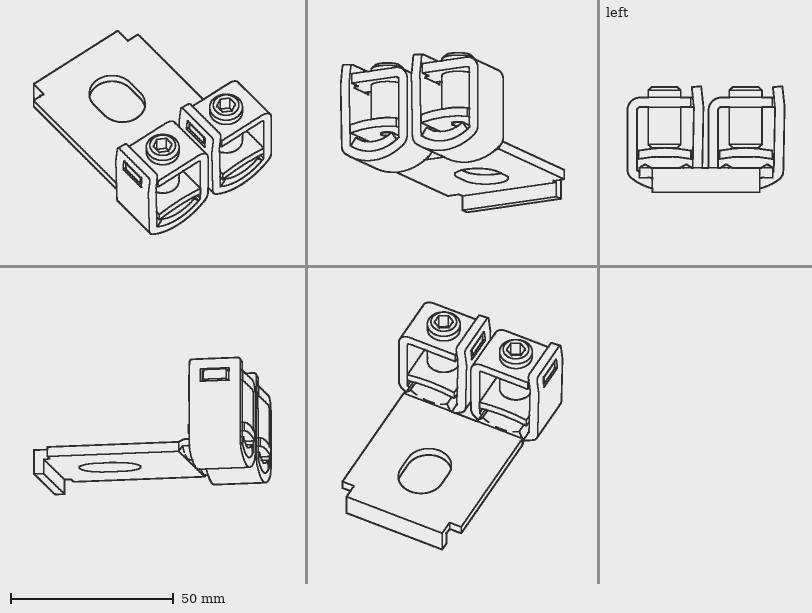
import cadquery as cq
import math

sheet = 3.0

flange_height = 7.55
flange_width = 33.1
plate_width = 41.1
plate_end_x = 46.15
notch_length = 5.0
slot_length = 19.1
slot_width = 14.0
slot_center_x = 20.5

tongue_width = 16.15
tongue_offset_y = (plate_width - tongue_width) / 2
tongue_bend_x = 47.4
trough_bottom_z = 3.65
trough_radius = 13.8
trough_center_z = trough_bottom_z + trough_radius

clamp_width = 16.05
clamp_center_x = 58.13
clamp_end_x = clamp_center_x + clamp_width / 2
clamp_outer_radius = trough_radius + sheet
top_z = 29.2
top_bend_radius = 4.0
bottom_bend_radius = 3.6
back_y = 11.78
back_inner_y = back_y - sheet
front_foot_y = -11.27
front_kink_y = -11.68
front_kink_z = 26.25
lip_lean = 6.2
lip_length = 6.48
lip_corner_radius = 1.0
top_end_y = -7.8

tab_width = 7.1
tab_end_y = -11.3
tab_root_radius = 0.5
window_width = 8.95
window_corner_radius = 0.3
window_bottom_z = 25.55
window_top_z = 29.5

screw_offset_y = 0.35
screw_diameter = 10.1
screw_top_z = 32.45
screw_chamfer = 1.1
hex_flats = 5.0
hex_depth = 5.0
pin_diameter = 4.1
pin_end_z = 10.75

pressure_length = 17.55
pressure_end_x = 66.75
pressure_width = 16.2
pressure_center_y = 0.25
pressure_thickness = 2.65
pressure_crown_z = 13.65
pressure_edge_z = 12.87


def arc_z(radius, y):
    """Height of the lower half of a circle about the trough axis."""
    return trough_center_z - math.sqrt(radius**2 - y**2)


def yz_plane(x):
    return cq.Plane(origin=(x, 0, 0), xDir=(0, 1, 0), normal=(1, 0, 0))


def box(x_range, y_range, z_range):
    size = [r[1] - r[0] for r in (x_range, y_range, z_range)]
    corner = (x_range[0], y_range[0], z_range[0])
    return cq.Workplane("XY").box(*size, centered=False).translate(corner)


def x_span(width):
    """Range of the given width about the clamp centre."""
    return clamp_center_x - width / 2, clamp_center_x + width / 2


def screw_cylinder(diameter, bottom_z, end_z):
    """Upright cylinder on the screw axis."""
    return (
        cq.Workplane("XY", origin=(clamp_center_x, screw_offset_y, bottom_z))
        .circle(diameter / 2)
        .extrude(end_z - bottom_z)
    )


def make_tongue():
    """Trough-shaped tongue, blended from the flat sheet at the plate end."""
    half_width = tongue_width / 2
    top_radius = trough_radius - sheet
    top_half_width = half_width * top_radius / trough_radius
    edge_z = arc_z(trough_radius, half_width)
    ridge_z = arc_z(top_radius, top_half_width)
    trough = (
        cq.Workplane(yz_plane(tongue_bend_x))
        .moveTo(-half_width, edge_z)
        .threePointArc((0, trough_bottom_z), (half_width, edge_z))
        .lineTo(top_half_width, ridge_z)
        .threePointArc((0, trough_bottom_z + sheet), (-top_half_width, ridge_z))
        .close()
    )
    flat = (
        cq.Workplane(yz_plane(plate_end_x))
        .moveTo(-half_width, flange_height - sheet)
        .lineTo(half_width, flange_height - sheet)
        .lineTo(half_width, flange_height)
        .lineTo(-half_width, flange_height)
        .close()
    )
    blend = cq.Solid.makeLoft([flat.val(), trough.val()], True)
    return trough.extrude(clamp_end_x - tongue_bend_x).union(cq.Workplane(blend))


def make_busbar():
    top_range = (flange_height - sheet, flange_height)
    half_plate = plate_width / 2
    half_flange = flange_width / 2
    plate = box((notch_length, plate_end_x), (-half_plate, half_plate), top_range)
    neck = box((0, notch_length), (-half_flange, half_flange), top_range)
    flange = box((0, sheet), (-half_flange, half_flange), (0, flange_height))
    slot = (
        cq.Workplane("XY")
        .center(slot_center_x, 0)
        .slot2D(slot_length, slot_width)
        .extrude(flange_height)
    )
    bar = plate.union(neck).union(flange).cut(slot)
    for side in (-1, 1):
        bar = bar.union(make_tongue().translate((0, side * tongue_offset_y, 0)))
    return bar


def make_clamp():
    """Bent-strip clamp about Y = 0, where the tongue axis lies."""
    x_start = clamp_center_x - clamp_width / 2
    lean = math.radians(lip_lean)
    lip_top_y = front_kink_y + lip_length * math.sin(lean)
    lip_top_z = front_kink_z + lip_length * math.cos(lean)
    front_inner_foot_y = front_foot_y + sheet

    frame = (
        cq.Workplane(yz_plane(x_start))
        .moveTo(top_end_y, top_z)
        .lineTo(back_y, top_z)
        .lineTo(back_y, arc_z(clamp_outer_radius, back_y))
        .threePointArc(
            (0, trough_center_z - clamp_outer_radius),
            (front_foot_y, arc_z(clamp_outer_radius, front_foot_y)),
        )
        .lineTo(front_kink_y, front_kink_z)
        .lineTo(lip_top_y, lip_top_z)
        .lineTo(lip_top_y + sheet * math.cos(lean), lip_top_z - sheet * math.sin(lean))
        .lineTo(front_kink_y + sheet, front_kink_z)
        .lineTo(front_inner_foot_y, arc_z(trough_radius, front_inner_foot_y))
        .threePointArc(
            (0, trough_bottom_z),
            (back_inner_y, arc_z(trough_radius, back_inner_y)),
        )
        .lineTo(back_inner_y, top_z - sheet)
        .lineTo(top_end_y, top_z - sheet)
        .close()
        .extrude(clamp_width)
    )

    def edge_along_x(y, z):
        reach = 0.05
        return cq.selectors.BoxSelector(
            (x_start, y - reach, z - reach), (clamp_end_x, y + reach, z + reach)
        )

    frame = frame.edges(edge_along_x(back_y, top_z)).fillet(top_bend_radius)
    frame = frame.edges(edge_along_x(back_inner_y, top_z - sheet)).fillet(top_bend_radius - sheet)
    for y in (back_y, front_foot_y):
        corner = edge_along_x(y, arc_z(clamp_outer_radius, y))
        frame = frame.edges(corner).fillet(bottom_bend_radius)
    frame = frame.faces(">Z").edges("<X or >X").fillet(lip_corner_radius)

    window = box(
        x_span(window_width),
        (front_kink_y - sheet, top_end_y),
        (window_bottom_z, window_top_z),
    )
    window = window.edges("|Y and >Z").fillet(window_corner_radius)

    half_tab = tab_width / 2
    half_root = half_tab + tab_root_radius
    round_end_y = top_end_y - tab_root_radius
    tab = (
        cq.Workplane("XY", origin=(clamp_center_x, 0, top_z - sheet))
        .moveTo(-half_root, top_end_y)
        .radiusArc((-half_tab, round_end_y), tab_root_radius)
        .lineTo(-half_tab, tab_end_y)
        .lineTo(half_tab, tab_end_y)
        .lineTo(half_tab, round_end_y)
        .radiusArc((half_root, top_end_y), tab_root_radius)
        .close()
        .extrude(sheet)
    )
    screw_hole = screw_cylinder(screw_diameter, top_z - sheet, top_z)
    return frame.cut(window).union(tab).cut(screw_hole)


def make_screw():
    """Hexagon socket screw with a pin that passes through the pressure plate."""
    shank = screw_cylinder(screw_diameter, pressure_crown_z, screw_top_z)
    shank = shank.faces("<Z or >Z").chamfer(screw_chamfer)
    pin = screw_cylinder(pin_diameter, pin_end_z, pressure_crown_z)
    socket = (
        cq.Workplane("XY", origin=(clamp_center_x, screw_offset_y, screw_top_z - hex_depth))
        .polygon(6, hex_flats / math.cos(math.pi / 6))
        .extrude(hex_depth)
    )
    return shank.union(pin).cut(socket)


def make_pressure_plate():
    """Arched plate carried on the pin of the screw."""
    left = pressure_center_y - pressure_width / 2
    right = pressure_center_y + pressure_width / 2
    arch = (
        cq.Workplane(yz_plane(pressure_end_x - pressure_length))
        .moveTo(left, pressure_edge_z)
        .threePointArc((pressure_center_y, pressure_crown_z), (right, pressure_edge_z))
        .lineTo(right, pressure_edge_z - pressure_thickness)
        .threePointArc(
            (pressure_center_y, pressure_crown_z - pressure_thickness),
            (left, pressure_edge_z - pressure_thickness),
        )
        .close()
        .extrude(pressure_length)
    )
    pin_hole = screw_cylinder(pin_diameter, pin_end_z - pressure_thickness, pressure_crown_z)
    return arch.cut(pin_hole)


bodies = [make_busbar().val()]
for side in (-1, 1):
    place = (0, side * tongue_offset_y, 0)
    for make_body in (make_clamp, make_screw, make_pressure_plate):
        bodies.append(make_body().translate(place).val())

result = cq.Compound.makeCompound(bodies)